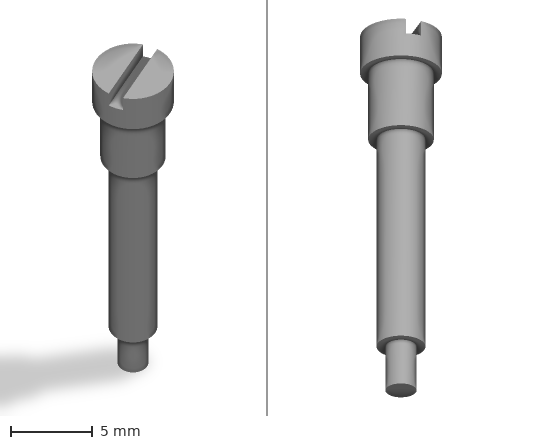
import cadquery as cq

total_length = 24.1
head_diameter = 5.0
head_height = 2.5
shoulder_diameter = 4.0
shoulder_length = 4.5
shank_diameter = 3.0
tip_diameter = 1.9
tip_length = 3.0
shank_length = total_length - head_height - shoulder_length - tip_length

slot_width = 0.96
slot_depth = 1.0


def stepped_body():
    """Stack the round sections from the tip at Z = 0 up to the head."""
    sections = [
        (tip_diameter, tip_length),
        (shank_diameter, shank_length),
        (shoulder_diameter, shoulder_length),
        (head_diameter, head_height),
    ]
    body = cq.Workplane("XY")
    for diameter, length in sections:
        body = body.circle(diameter / 2).extrude(length).faces(">Z").workplane()
    return body


def driver_slot():
    """Block that cuts the slot down from the top of the head."""
    return (
        cq.Workplane("XY")
        .workplane(offset=total_length - slot_depth)
        .rect(slot_width, head_diameter)
        .extrude(slot_depth)
    )


result = stepped_body().cut(driver_slot())